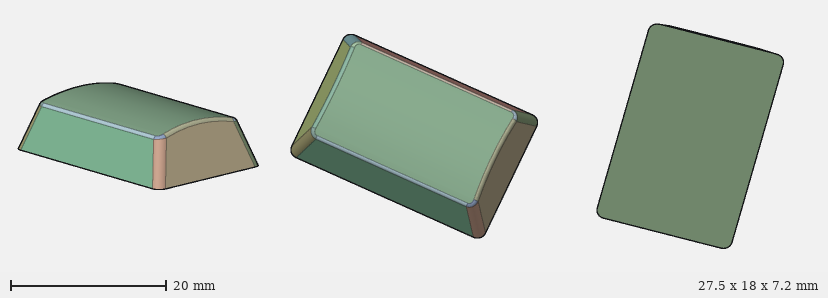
import cadquery as cq

LENGTH = 27.52
WIDTH = 18.0
HEIGHT = 7.2
WALL_DRAFT = 18.0
DOME_RADIUS = 23.95
CORNER_RADIUS = 1.25
RIM_RADIUS = 0.6


def drafted_block():
    """Straight-walled frustum with rounded corner edges, taller than the part."""
    block_height = HEIGHT + RIM_RADIUS
    block = cq.Workplane("XY").rect(LENGTH, WIDTH).extrude(block_height, taper=WALL_DRAFT)
    return block.edges("not(#Z)").fillet(CORNER_RADIUS)


def dome_envelope():
    """Cylinder along X whose crest lies at the full height."""
    return (
        cq.Workplane("YZ")
        .center(0, HEIGHT - DOME_RADIUS)
        .circle(DOME_RADIUS)
        .extrude(LENGTH / 2, both=True)
    )


domed_block = drafted_block().intersect(dome_envelope())

result = domed_block.faces(">Z").edges().fillet(RIM_RADIUS)